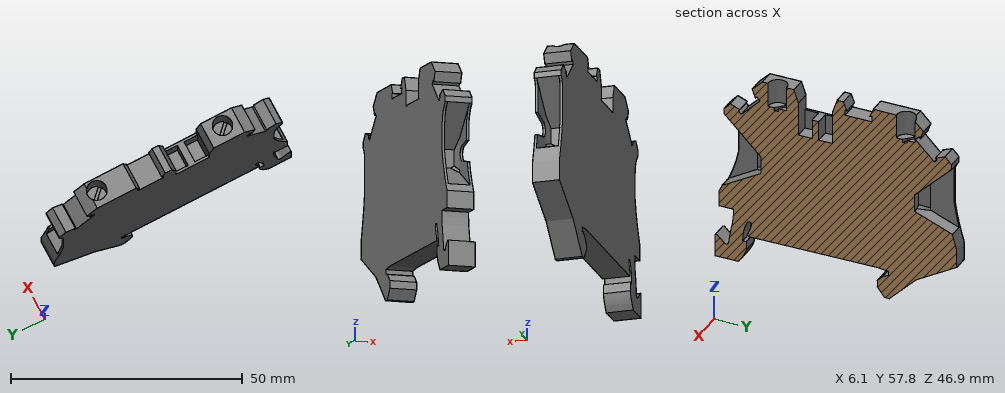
import cadquery as cq


WIDTH = 6.1
LENGTH = 57.8
HEIGHT = 46.9

MID_Y = 29.35

SIDE_WALL = 0.6
INNER_WIDTH = WIDTH - 2 * SIDE_WALL

SLOT_FRONT_Y = 20.0
SLOT_BACK_Y = 28.1
SLOT_FLOOR_Z = 40.35
SLOT_FLARE_Z = 43.75
SLOT_FLARE = 1.1
GROOVE_FRONT_Y = 31.15
GROOVE_BACK_Y = 37.45
GROOVE_FLOOR_Z = 43.65
GROOVE_LIP = 0.45
GROOVE_LIP_Z = 44.8
GROOVE_LIP_SLOPE = 0.85

RECESS_LENGTH = 3.25
RECESS_DEPTH = 4.6

SCREW_X = 3.5
SCREW_FRONT_Y = 14.9
SCREW_BACK_Y = 45.6
SCREW_DIAMETER = 4.4
SCREW_HEAD_DEPTH = 5.8
DRIVER_SLOT_WIDTH = 0.7
DRIVER_SLOT_DEPTH = 0.7
DRIVER_SLOT_ANGLE = -45

ENTRY_TOP_Y = 2.15
ENTRY_TOP_Z = 36.4
TAPER_START_Y = 8.65
THROAT_Y = 11.0
THROAT_LEFT_X = 1.8
THROAT_RIGHT_X = 5.1
THROAT_BOTTOM_Z = 23.7
THROAT_TOP_Z = 27.75
THROAT_CORNER_X = 0.8
THROAT_CORNER_Z = 0.6
TAPER_CORNER_X = 0.1
FRONT_LIP = (1.8, 18.3)
BACK_LIP = (1.9, 20.25)

NOTCH_CENTER_Y = 6.55
NOTCH_CENTER_Z = 26.3
NOTCH_RADIUS = 1.8
NOTCH_SLOPE = 0.23


def mirrored(points):
    """Mirror YZ points about the middle plane, reversing their order."""
    return [(2 * MID_Y - y, z) for y, z in reversed(points)]


def body():
    nose = (ENTRY_TOP_Y, 37.7)
    lower_hook = [(3.7, 39.35), (6.0, 38.45), (5.65, 38.05), (6.3, 37.4)]
    upper_hook = [(10.75, 41.85), (10.0, 42.6), (9.65, 42.2), (8.85, 44.35)]
    shoulder = [nose, *lower_hook, *upper_hook, (11.4, HEIGHT)]

    jumper_slot = [
        (SLOT_FRONT_Y - SLOT_FLARE, HEIGHT),
        (SLOT_FRONT_Y, SLOT_FLARE_Z),
        (SLOT_FRONT_Y, SLOT_FLOOR_Z),
        (SLOT_BACK_Y, SLOT_FLOOR_Z),
        (SLOT_BACK_Y, SLOT_FLARE_Z),
        (SLOT_BACK_Y + SLOT_FLARE, HEIGHT),
    ]

    lip_front_y = GROOVE_FRONT_Y + GROOVE_LIP
    lip_back_y = GROOVE_BACK_Y - GROOVE_LIP
    label_groove = [
        (lip_front_y - GROOVE_LIP_SLOPE, HEIGHT),
        (lip_front_y, GROOVE_LIP_Z),
        (GROOVE_FRONT_Y, GROOVE_LIP_Z),
        (GROOVE_FRONT_Y, GROOVE_FLOOR_Z),
        (GROOVE_BACK_Y, GROOVE_FLOOR_Z),
        (GROOVE_BACK_Y, GROOVE_LIP_Z),
        (lip_back_y, GROOVE_LIP_Z),
        (lip_back_y + GROOVE_LIP_SLOPE, HEIGHT),
    ]

    fixed_foot = [
        (LENGTH, 12.1), (48.1, 6.4), (41.7, 0), (40.5, 0), (38.8, 2.25),
        (38.8, 3.95), (40.35, 5.55), (41.4, 5.85), (41.4, 6.8),
    ]
    rail_seat = [(39.0, 7.1), (8.1, 6.9), (7.75, 7.35)]

    outline = (
        cq.Workplane("YZ")
        .moveTo(0, 0)
        .lineTo(0, 5.25)
        .threePointArc((0.2, 5.55), (0.5, 5.55))
        .lineTo(2.25, 3.95)
        .threePointArc((2.85, 3.8), (3.2, 4.1))
        .threePointArc((3.7, 7.35), (4.15, 9.6))
        .lineTo(4.35, 11.45)
        .lineTo(4.35, 12.85)
        .lineTo(0.9, 12.85)
        .lineTo(0.9, 16.65)
        .threePointArc((2.9, 21.2), (4.15, 25.9))
        .lineTo(4.15, 31.3)
        .threePointArc((3.9, 33.5), (3.05, 35.4))
        .lineTo(ENTRY_TOP_Y, ENTRY_TOP_Z)
    )
    for point in shoulder + jumper_slot + label_groove + mirrored(shoulder):
        outline = outline.lineTo(*point)

    outline = (
        outline
        .lineTo(2 * MID_Y - ENTRY_TOP_Y, ENTRY_TOP_Z)
        .lineTo(56.05, 35.7)
        .threePointArc((55.8, 35.0), (55.65, 34.2))
        .lineTo(55.65, 26.1)
        .threePointArc((56.5, 21.45), (LENGTH, 16.65))
    )
    for point in fixed_foot + rail_seat:
        outline = outline.lineTo(*point)

    return (
        outline
        .lineTo(8.65, 9.95)
        .threePointArc((8.3, 10.65), (7.7, 10.3))
        .threePointArc((7.05, 8.6), (6.7, 5.6))
        .lineTo(7.15, 5.6)
        .lineTo(7.65, 5.7)
        .lineTo(7.65, 3.7)
        .threePointArc((7.15, 2.4), (6.5, 1.2))
        .lineTo(5.55, 0)
        .close()
        .extrude(WIDTH)
    )


def height_on_line(start, end, y):
    """Z at the given Y on the straight line through two YZ points."""
    return start[1] + (end[1] - start[1]) * (y - start[0]) / (end[0] - start[0])


def entry_section(plane_y, left, right, bottom, top, corner_x, corner_z):
    """Wire of an upright rectangle with both lower corners cut off."""
    corners = [
        (left, top),
        (right, top),
        (right, bottom + corner_z),
        (right - corner_x, bottom),
        (left + corner_x, bottom),
        (left, bottom + corner_z),
    ]
    return cq.Wire.makePolygon([cq.Vector(x, plane_y, z) for x, z in corners], close=True)


def wire_entry(lip):
    """Cutter at the front end: sloping mouth, tapered throat and side notch."""
    ceiling_start = (ENTRY_TOP_Y, ENTRY_TOP_Z)
    taper_top_z = height_on_line(ceiling_start, (THROAT_Y, THROAT_TOP_Z), TAPER_START_Y)
    taper_bottom_z = height_on_line(lip, (THROAT_Y, THROAT_BOTTOM_Z), TAPER_START_Y)

    mouth = (
        cq.Workplane("YZ", origin=(SIDE_WALL, 0, 0))
        .polyline([
            (0, lip[1]),
            lip,
            (TAPER_START_Y, taper_bottom_z),
            (TAPER_START_Y, taper_top_z),
            ceiling_start,
            (0, ENTRY_TOP_Z),
        ])
        .close()
        .extrude(INNER_WIDTH)
    )

    taper = cq.Solid.makeLoft(
        [
            entry_section(
                TAPER_START_Y, SIDE_WALL, WIDTH - SIDE_WALL,
                taper_bottom_z, taper_top_z, TAPER_CORNER_X, THROAT_CORNER_Z,
            ),
            entry_section(
                THROAT_Y, THROAT_LEFT_X, THROAT_RIGHT_X,
                THROAT_BOTTOM_Z, THROAT_TOP_Z, THROAT_CORNER_X, THROAT_CORNER_Z,
            ),
        ],
        True,
    )

    mouth_half_height = NOTCH_RADIUS + NOTCH_SLOPE * NOTCH_CENTER_Y
    notch = (
        cq.Workplane("YZ", origin=(WIDTH - SIDE_WALL, 0, 0))
        .moveTo(0, NOTCH_CENTER_Z - mouth_half_height)
        .lineTo(NOTCH_CENTER_Y, NOTCH_CENTER_Z - NOTCH_RADIUS)
        .threePointArc(
            (NOTCH_CENTER_Y + NOTCH_RADIUS, NOTCH_CENTER_Z),
            (NOTCH_CENTER_Y, NOTCH_CENTER_Z + NOTCH_RADIUS),
        )
        .lineTo(0, NOTCH_CENTER_Z + mouth_half_height)
        .close()
        .extrude(SIDE_WALL)
    )
    return mouth.union(cq.Workplane(taper)).union(notch)


def screw_hole(screw_y):
    """Cutter for a sunken screw head with a diagonal driver slot."""
    head_z = HEIGHT - SCREW_HEAD_DEPTH
    hole = (
        cq.Workplane("XY", origin=(SCREW_X, screw_y, head_z))
        .circle(SCREW_DIAMETER / 2)
        .extrude(SCREW_HEAD_DEPTH)
    )
    driver_slot = (
        cq.Workplane("XY", origin=(SCREW_X, screw_y, head_z))
        .transformed(rotate=(0, 0, DRIVER_SLOT_ANGLE))
        .rect(SCREW_DIAMETER, DRIVER_SLOT_WIDTH)
        .extrude(-DRIVER_SLOT_DEPTH)
    )
    round_limit = (
        cq.Workplane("XY", origin=(SCREW_X, screw_y, head_z))
        .circle(SCREW_DIAMETER / 2)
        .extrude(-DRIVER_SLOT_DEPTH)
    )
    return hole.union(driver_slot.intersect(round_limit))


def jumper_recess(start_y):
    """Cutter for a rectangular recess in the jumper slot floor."""
    return (
        cq.Workplane("XY", origin=(SIDE_WALL, start_y, SLOT_FLOOR_Z))
        .rect(INNER_WIDTH, RECESS_LENGTH, centered=False)
        .extrude(-RECESS_DEPTH)
    )


result = body()

back_entry = wire_entry(BACK_LIP).mirror("XZ", (0, MID_Y, 0))
for entry in (wire_entry(FRONT_LIP), back_entry):
    result = result.cut(entry)

for y in (SCREW_FRONT_Y, SCREW_BACK_Y):
    result = result.cut(screw_hole(y))

for y in (SLOT_FRONT_Y, SLOT_BACK_Y - RECESS_LENGTH):
    result = result.cut(jumper_recess(y))